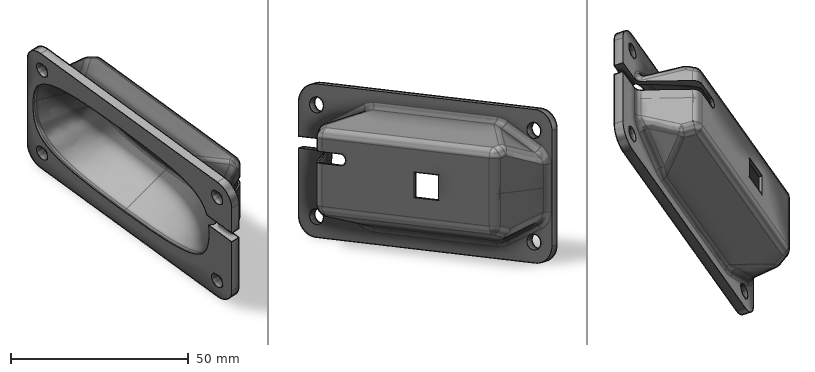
import cadquery as cq

PLATE_LENGTH = 84.0
PLATE_HEIGHT = 44.0
PLATE_THICKNESS = 2.8
PLATE_LEFT_RADIUS = 5.5
PLATE_RIGHT_RADIUS = 6.0
HOLE_DIAMETER = 4.5
HOLE_PITCH_X = 72.0
HOLE_PITCH_Z = 32.0

TOTAL_DEPTH = 18.9
TRAY_CENTER_X = -3.5
TRAY_BASE_HALF_LENGTH = 37.0
TRAY_BACK_HALF_LENGTH = 29.6
TRAY_BASE_HALF_HEIGHT = 17.2
TRAY_BACK_TOP = 12.35
TRAY_BACK_BOTTOM = -11.3
TRAY_EDGE_RADIUS = 2.9
PLATE_JOINT_RADIUS = 2.0

CORNER_CUT_X = 16.8
CORNER_CUT_Z = 8.8
TOP_CUT_TIP_Y = 16.5
BOTTOM_CUT_TIP_Y = 15.1

RIM_HALF_LENGTH = 36.2
RIM_HALF_HEIGHT = 15.45
RIM_ROUNDNESS = 0.82
KNEE_HALF_LENGTH = 37.1
KNEE_HALF_HEIGHT = 16.9
KNEE_Y = 1.6
KNEE_ROUNDNESS = 0.79
FLOOR_HALF_LENGTH = 29.8
FLOOR_HALF_HEIGHT = 11.0
FLOOR_ROUNDNESS = 0.71
FLOOR_THICKNESS = 1.0
RECESS_RADIUS = 1.0
FLOOR_Y = TOTAL_DEPTH - FLOOR_THICKNESS

WINDOW_LENGTH = 8.15
WINDOW_HEIGHT = 7.3
WINDOW_CENTER_X = -10.3

SLOT_WIDTH = 3.4
SLOT_CENTER_Z = 4.7
SLOT_END_X = 16.4

BORDER_MARGIN = 0.4
SELECT_TOLERANCE = 0.01


def plane_at(y, x=0.0):
    """Workplane facing -Y at depth y; extrude a negative length to go deeper."""
    return cq.Workplane("XZ", origin=(x, y, 0))


def edges_at(y):
    """Selector for edges lying at depth y, leaving out the outer border of the plate."""
    half_length = PLATE_LENGTH / 2 - BORDER_MARGIN
    half_height = PLATE_HEIGHT / 2 - BORDER_MARGIN
    near_corner = (-half_length, y - SELECT_TOLERANCE, -half_height)
    far_corner = (half_length, y + SELECT_TOLERANCE, half_height)
    return cq.selectors.BoxSelector(near_corner, far_corner, boundingbox=True)


def make_plate():
    return (
        plane_at(0)
        .rect(PLATE_LENGTH, PLATE_HEIGHT)
        .extrude(-PLATE_THICKNESS)
        .edges("|Y and <X")
        .fillet(PLATE_LEFT_RADIUS)
        .edges("|Y and >X")
        .fillet(PLATE_RIGHT_RADIUS)
    )


def tray_corner(side, level, y):
    """Sharp corner of the tapered box; side and level are +1 or -1."""
    back_z = TRAY_BACK_TOP if level > 0 else TRAY_BACK_BOTTOM
    base_z = level * TRAY_BASE_HALF_HEIGHT
    taper = (y - PLATE_THICKNESS) / (TOTAL_DEPTH - PLATE_THICKNESS)
    half_length = TRAY_BASE_HALF_LENGTH + taper * (TRAY_BACK_HALF_LENGTH - TRAY_BASE_HALF_LENGTH)
    return cq.Vector(TRAY_CENTER_X + side * half_length, y, base_z + taper * (back_z - base_z))


def tray_outline(y):
    corners = [tray_corner(side, level, y) for side, level in ((-1, -1), (1, -1), (1, 1), (-1, 1))]
    return cq.Wire.makePolygon(corners, close=True)


def corner_waste(side, level):
    """Block lying outside the flat that cuts one corner of the tray."""
    base_corner = tray_corner(side, level, PLATE_THICKNESS)
    tip = tray_corner(side, level, TOP_CUT_TIP_Y if level > 0 else BOTTOM_CUT_TIP_Y)
    along_x = base_corner - cq.Vector(side * CORNER_CUT_X, 0, 0)
    along_z = base_corner - cq.Vector(0, 0, level * CORNER_CUT_Z)
    normal = (along_x - tip).cross(along_z - tip)
    if normal.dot(base_corner - tip) < 0:
        normal = -normal
    cut_plane = cq.Plane(origin=tip, xDir=along_x - along_z, normal=normal)
    return cq.Workplane(cut_plane).rect(PLATE_LENGTH, PLATE_LENGTH).extrude(PLATE_LENGTH)


def make_tray():
    outlines = [tray_outline(PLATE_THICKNESS), tray_outline(TOTAL_DEPTH)]
    tray = cq.Workplane(cq.Solid.makeLoft(outlines, True))
    for side in (-1, 1):
        for level in (-1, 1):
            tray = tray.cut(corner_waste(side, level))
    return tray.edges("not <Y").fillet(TRAY_EDGE_RADIUS)


def join_tray_to_plate(plate, tray):
    joint = edges_at(PLATE_THICKNESS)
    return plate.union(tray).edges(joint).fillet(PLATE_JOINT_RADIUS)


def rounded_outline(half_length, half_height, roundness, y):
    """Closed oval of four curves; roundness 0.55 is an ellipse, 1 is nearly a rectangle."""

    def point(x, z):
        return cq.Vector(TRAY_CENTER_X + x * half_length, y, z * half_height)

    quarters = []
    for side, level in ((1, 1), (-1, 1), (-1, -1), (1, -1)):
        controls = [
            point(side, 0),
            point(side, level * roundness),
            point(side * roundness, level),
            point(0, level),
        ]
        if side != level:
            controls.reverse()
        quarters.append(cq.Edge.makeBezier(controls))
    return cq.Wire.assembleEdges(quarters)


def make_recess():
    front = rounded_outline(RIM_HALF_LENGTH, RIM_HALF_HEIGHT, RIM_ROUNDNESS, 0)
    knee = rounded_outline(KNEE_HALF_LENGTH, KNEE_HALF_HEIGHT, KNEE_ROUNDNESS, KNEE_Y)
    floor = rounded_outline(FLOOR_HALF_LENGTH, FLOOR_HALF_HEIGHT, FLOOR_ROUNDNESS, FLOOR_Y)
    flare = cq.Workplane(cq.Solid.makeLoft([front, knee], True))
    taper = cq.Workplane(cq.Solid.makeLoft([knee, floor], True))
    recess = flare.union(taper)
    return recess.edges(edges_at(KNEE_Y) + edges_at(FLOOR_Y)).fillet(RECESS_RADIUS)


def make_holes():
    return (
        plane_at(0)
        .rarray(HOLE_PITCH_X, HOLE_PITCH_Z, 2, 2)
        .circle(HOLE_DIAMETER / 2)
        .extrude(-PLATE_THICKNESS)
    )


def make_window():
    return plane_at(0, WINDOW_CENTER_X).rect(WINDOW_LENGTH, WINDOW_HEIGHT).extrude(-TOTAL_DEPTH)


def make_slot():
    slot_length = PLATE_LENGTH - SLOT_END_X
    return (
        plane_at(0)
        .center(SLOT_END_X + slot_length / 2, SLOT_CENTER_Z)
        .slot2D(slot_length, SLOT_WIDTH)
        .extrude(-TOTAL_DEPTH)
    )


result = join_tray_to_plate(make_plate(), make_tray())
for opening in (make_recess(), make_holes(), make_window(), make_slot()):
    result = result.cut(opening)